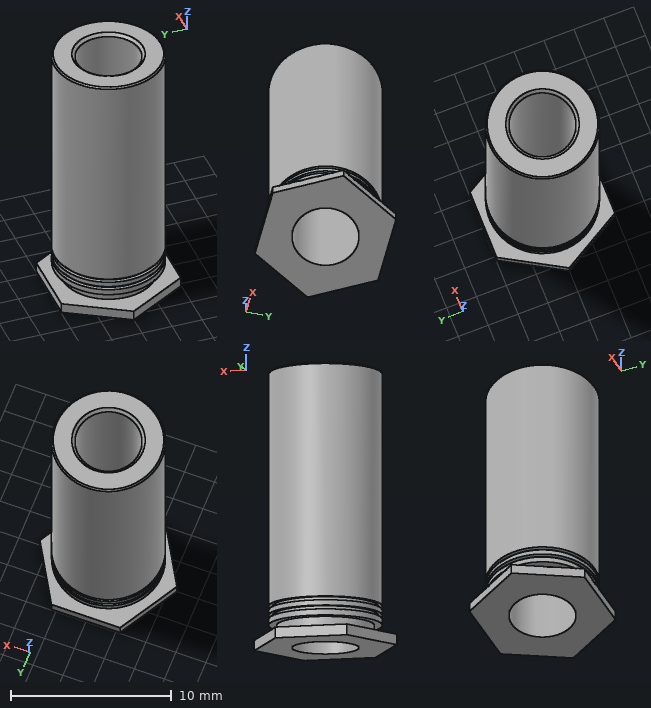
import cadquery as cq
import math

total_height = 17.46
hex_across_flats = 7.93
hex_thickness = 0.68
body_diameter = 7.1
neck_diameter = 6.1
groove_diameter = 6.6
bore_diameter = 4.17
countersink_diameter = 4.57
rim_chamfer = 0.1

body_bottom = 1.41
lower_groove_bottom = 1.8
groove_pitch = 0.58
groove_count = 2
groove_width = 0.25


def make_head():
    """Hexagonal head with two corners on the X axis."""
    across_corners = hex_across_flats / math.cos(math.pi / 6)
    return cq.Workplane("XY").polygon(6, across_corners).extrude(hex_thickness)


def make_cylinder(diameter, bottom, top):
    """Solid cylinder on the Z axis between two heights."""
    return cq.Workplane("XY").workplane(offset=bottom).circle(diameter / 2).extrude(top - bottom)


def make_groove(bottom):
    """Ring of material removed to leave one groove around the body."""
    top = bottom + groove_width
    ring = make_cylinder(body_diameter, bottom, top)
    return ring.cut(make_cylinder(groove_diameter, bottom, top))


neck = make_cylinder(neck_diameter, 0, body_bottom)
barrel = make_cylinder(body_diameter, body_bottom, total_height)
barrel = barrel.faces(">Z").chamfer(rim_chamfer)

for index in range(groove_count):
    barrel = barrel.cut(make_groove(lower_groove_bottom + index * groove_pitch))

result = (
    make_head()
    .union(neck)
    .union(barrel)
    .faces(">Z")
    .workplane(origin=(0, 0, total_height))
    .cskHole(bore_diameter, countersink_diameter, 90)
)